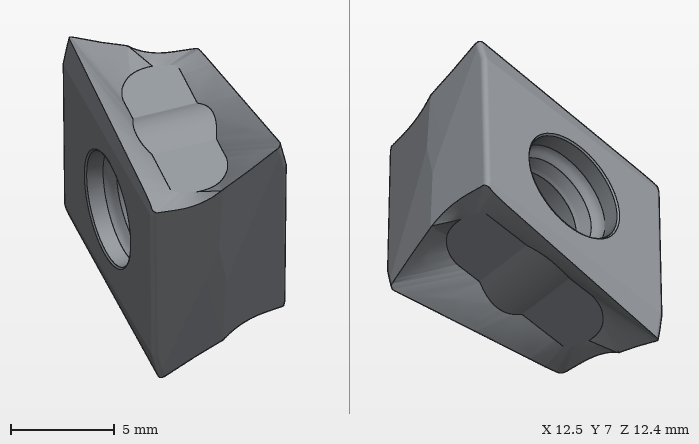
import cadquery as cq


half_length = 6.26
thickness = 7.0
half_thickness = thickness / 2
blank_length = 18.78
blank_height = 15.02
cut_size = 37.56
corner_round = 0.29
corner_zone_x = 4.38
corner_zone_y = 2.5
tolerance = 0.001

tip_x = -5.76
tip_y = -3.17
tip_z = 6.18
low_corner_x = 5.38
low_corner_z = 4.03
land_start = (-5.63, -half_thickness, 4.76)
land_end = (5.55, -half_thickness, 3.57)

notch = (-6.21, 0.0, 4.56)
notch_below = (-6.21, 0.0, -4.56)
middle_upper = (-half_length, 0.2, 1.05)
middle_lower = (-half_length, -0.2, -1.05)
end_tip = (-5.98, -3.22, 5.95)
facet_meeting_y = -0.88
facet_meeting_z = 0.61

floor_z = 3.87
floor_low_corner = (4.82, -1.67)
floor_round_start = (-3.08, -1.45)
floor_round_end = (-4.81, -0.35)
floor_end_middle = (-5.06, 0.88)
floor_end_late = (-4.91, 1.48)
rim_low_corner = (5.76, -3.3, 3.75)
rim_tip = (-6.01, -3.0, 6.1)
rim_below_tip = (-6.02, -2.74, 5.96)
rim_past_notch = (-6.21, 0.08, 4.51)
rim_end_late = (-5.96, 2.39, 3.74)
recess_top = 9.39
rim_overrun = 1.35
hump_half_width = 1.5
hump_rise = 0.33
hump_blend = 0.3

mouth = (2.99, 0.0)
mouth_inner = (2.9, 0.09)
seat_top = (mouth_inner[0], 0.94)
seat_bend = (2.82, 1.15)
seat_upper = (2.67, 1.33)
seat_lower = (2.52, 1.49)
throat_break = (2.28, 2.05)
throat = (2.19, 2.22)


def all_symmetric(points):
    """The points together with their images under half turns about X, Y and Z."""
    signs = [(1, 1, 1), (1, -1, -1), (-1, 1, -1), (-1, -1, 1)]
    return [[(x * sx, y * sy, z * sz) for x, y, z in points] for sx, sy, sz in signs]


def trim(body, points):
    """Remove what lies beyond the plane through three points, seen from the centre."""
    a, b, c = [cq.Vector(*p) for p in points]
    normal = (b - a).cross(c - a).normalized()
    if normal.dot(a) < 0:
        normal = -normal
    plane = cq.Plane(a, (b - a).normalized(), normal)
    return body.cut(cq.Workplane(plane).rect(cut_size, cut_size).extrude(cut_size))


def plane_x(points, y, z):
    """X of the plane through three points at the given Y and Z."""
    a, b, c = [cq.Vector(*p) for p in points]
    normal = (b - a).cross(c - a)
    return a.x - (normal.y * (y - a.y) + normal.z * (z - a.z)) / normal.x


def make_blank():
    """Block bounded by the side faces, end facets and lands, with rounded corners."""
    middle_facet = [notch, middle_upper, middle_lower]
    meeting_x = plane_x(middle_facet, facet_meeting_y, facet_meeting_z)
    upper_facet = [notch, end_tip, (meeting_x, facet_meeting_y, facet_meeting_z)]
    lower_facet = [end_tip, middle_lower, notch_below]
    land = [land_start, land_end, (tip_x, tip_y, tip_z)]

    body = cq.Workplane("XY").box(blank_length, thickness, blank_height)
    for facet in (middle_facet, upper_facet, lower_facet, land):
        for points in all_symmetric(facet):
            body = trim(body, points)
    corners = body.edges().filter(
        lambda edge: abs(edge.Center().x) > corner_zone_x and abs(edge.Center().y) > corner_zone_y
    )
    return corners.fillet(corner_round)


def land_foot_z(x):
    """Height at which the sloping land meets the -Y side face."""
    slope = (land_end[2] - land_start[2]) / (land_end[0] - land_start[0])
    return land_start[2] + slope * (x - land_start[0])


def edge_point(x):
    """Point of the -Y cutting edge at the given X, on the land plane."""
    z = tip_z + (low_corner_z - tip_z) * (x - tip_x) / (low_corner_x - tip_x)
    lean = (tip_y + half_thickness) / (tip_z - land_foot_z(tip_x))
    return (x, -half_thickness + lean * (z - land_foot_z(x)), z)


def half_recess_walls():
    """Wall strips from the low +X corner along the -Y edge and up the -X end.

    Each strip is (floor points, rim points); floor points are (x, y) at the floor height."""
    stations = [
        (floor_low_corner, rim_low_corner),
        ((4.73, -1.84), (5.26, -3.37, 4.01)),
        ((4.41, -2.0), edge_point(4.51)),
        ((3.85, -1.97), edge_point(3.45)),
        ((1.44, -1.78), edge_point(-0.24)),
        ((-1.56, -1.56), edge_point(-5.01)),
        ((-2.19, -1.51), edge_point(-5.8)),
        ((-2.57, -1.49), rim_tip),
        (floor_round_start, rim_below_tip),
    ]
    strips = [([f0, f1], [r0, r1]) for (f0, r0), (f1, r1) in zip(stations, stations[1:])]

    end_of_floor = (-floor_low_corner[0], -floor_low_corner[1])
    end_of_rim = (-rim_low_corner[0], -rim_low_corner[1], rim_low_corner[2])
    strips += [
        ([floor_round_start, (-4.13, -1.03), floor_round_end], [rim_below_tip, notch]),
        ([floor_round_end, (-5.03, 0.25), floor_end_middle], [notch, rim_past_notch]),
        (
            [floor_end_middle, (-5.01, 1.18), floor_end_late],
            [rim_past_notch, (-6.16, 0.73, 4.1), (-6.06, 1.75, 3.78), rim_end_late],
        ),
        ([floor_end_late, end_of_floor], [rim_end_late, end_of_rim]),
    ]
    return strips


def curve(points):
    """Straight edge through two points, smooth edge through more."""
    if len(points) == 2:
        return cq.Edge.makeLine(*points)
    return cq.Edge.makeSpline(points)


def make_recess():
    """Cutter for the top: a closed skin of floor, walls run out past the rim, and lid."""
    faces = []
    floor_edges = []
    lid_edges = []
    for floor_points, rim_points in half_recess_walls():
        for turn in (1, -1):
            inner = [cq.Vector(turn * x, turn * y, floor_z) for x, y in floor_points]
            rim = [cq.Vector(turn * x, turn * y, z) for x, y, z in rim_points]
            outer = []
            for i, point in enumerate(rim):
                start = inner[0] + (inner[-1] - inner[0]) * (i / (len(rim) - 1))
                outer.append(start + (point - start) * rim_overrun)
            lid = [cq.Vector(p.x, p.y, recess_top) for p in outer]
            inner_edge, outer_edge, lid_edge = curve(inner), curve(outer), curve(lid)
            faces.append(cq.Face.makeRuledSurface(inner_edge, outer_edge))
            faces.append(cq.Face.makeRuledSurface(outer_edge, lid_edge))
            floor_edges.append(inner_edge)
            lid_edges.append(lid_edge)
    for edges in (floor_edges, lid_edges):
        faces.append(cq.Face.makeFromWires(cq.Wire.combine(edges)[0]))
    shell = cq.Shell.makeShell(faces)
    recess = cq.Workplane(cq.Solid.makeSolid(shell).fix())
    hump = (
        cq.Workplane("XZ")
        .moveTo(-hump_half_width, floor_z)
        .threePointArc((0, floor_z + hump_rise), (hump_half_width, floor_z))
        .close()
        .extrude(thickness, both=True)
    )
    recess = recess.cut(hump)
    hump_feet = recess.edges("|Y").filter(lambda edge: abs(edge.Center().z - floor_z) < tolerance)
    return hump_feet.fillet(hump_blend)


def make_hole():
    """Turned cutter about Y, with the same seat sunk from both side faces."""

    def place(point, side):
        return (point[0], side * (half_thickness - point[1]))

    seat_to_throat = [seat_upper, seat_lower, throat_break, throat]
    near_half = [place(point, -1) for point in seat_to_throat]
    far_half = [place(point, 1) for point in reversed(seat_to_throat)]
    profile = (
        cq.Workplane("XY")
        .moveTo(0, -half_thickness)
        .lineTo(*place(mouth, -1))
        .lineTo(*place(mouth_inner, -1))
        .lineTo(*place(seat_top, -1))
        .threePointArc(place(seat_bend, -1), near_half[0])
        .polyline(near_half[1:] + far_half, includeCurrent=True)
        .threePointArc(place(seat_bend, 1), place(seat_top, 1))
        .lineTo(*place(mouth_inner, 1))
        .lineTo(*place(mouth, 1))
        .lineTo(0, half_thickness)
        .close()
    )
    return profile.revolve(360, (0, 0, 0), (0, 1, 0))


top_recess = make_recess()
bottom_recess = top_recess.rotate((0, 0, 0), (1, 0, 0), 180)
result = make_blank().cut(top_recess).cut(bottom_recess).cut(make_hole())